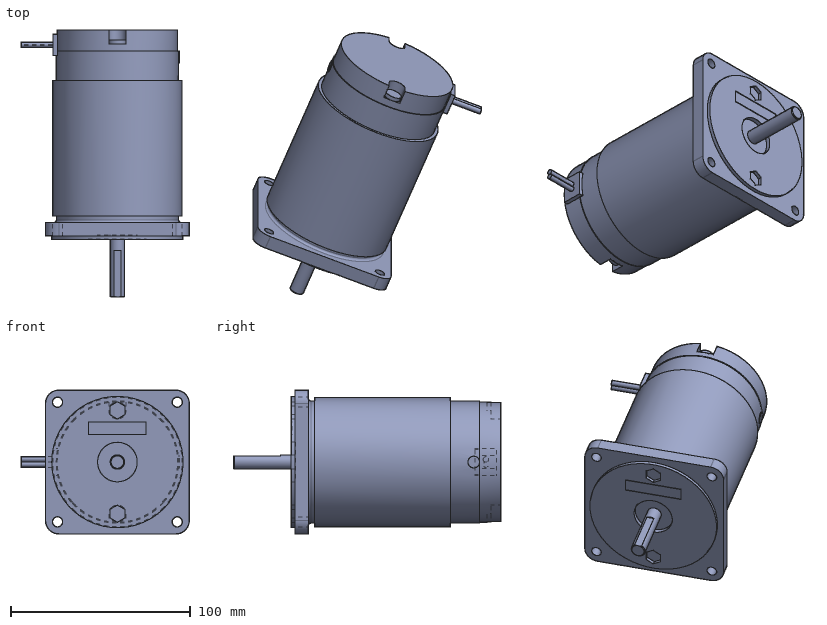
import cadquery as cq
import math


flange_side = 80.0
flange_thickness = 7.5
flange_corner_radius = 7.5
mount_hole_diameter = 5.5
mount_hole_offset = 33.25

pilot_diameter = 73.0
pilot_height = 2.0
bearing_recess_diameter = 22.0
bearing_recess_depth = 2.5
label_recess_width = 32.0
label_recess_height = 7.0
label_recess_center_z = 18.75
label_recess_depth = 0.3
hex_across_flats = 8.3
hex_recess_depth = 2.0

shaft_diameter = 8.0
shaft_length = 32.0
shaft_chamfer = 0.5
shaft_flat_length = 26.0
shaft_flat_depth = 0.55

neck_diameter = 68.0
neck_length = 3.5
neck_fillet = 1.5
body_diameter = 72.0
body_length = 75.5
collar_diameter = 68.0
collar_length = 16.2
cap_diameter = 67.0
cap_length = 11.8

bolt_offset = 28.7
bolt_head_diameter = 9.5
bolt_head_height = 2.2
bolt_slot_depth = 7.7

outlet_length = 12.0
outlet_height = 15.0
outlet_thickness = 2.5
outlet_face_x = -35.8
outlet_rear_gap = 2.35
wire_diameter = 3.0
wire_offset_z = 1.48
wire_end_x = -53.5

pad_diameter = 6.5
pad_face_x = 34.4

pilot_face_y = -pilot_height
shaft_tip_y = pilot_face_y - shaft_length
body_front_y = flange_thickness + neck_length
collar_front_y = body_front_y + body_length
cap_front_y = collar_front_y + collar_length
rear_y = cap_front_y + cap_length
outlet_center_y = rear_y - outlet_rear_gap - outlet_length / 2


def facing_rear(y):
    """Sketch plane at station y, extruding toward +Y (local x = -X, local y = Z)."""
    return cq.Workplane(cq.Plane(origin=(0, y, 0), xDir=(-1, 0, 0), normal=(0, 1, 0)))


def facing_right(x):
    """Sketch plane at position x, extruding toward +X (local x = Y, local y = Z)."""
    return cq.Workplane(cq.Plane(origin=(x, 0, 0), xDir=(0, 1, 0), normal=(1, 0, 0)))


def disc(diameter, start_y, length):
    return facing_rear(start_y).circle(diameter / 2).extrude(length)


def make_flange():
    plate = facing_rear(0).rect(flange_side, flange_side).extrude(flange_thickness)
    plate = plate.edges("|Y").fillet(flange_corner_radius)
    spacing = 2 * mount_hole_offset
    holes = (
        facing_rear(0)
        .rect(spacing, spacing, forConstruction=True)
        .vertices()
        .circle(mount_hole_diameter / 2)
        .extrude(flange_thickness)
    )
    return plate.cut(holes)


def make_neck():
    """Neck behind the flange, flaring into it with a concave fillet."""
    radius = neck_diameter / 2
    fillet_end_y = flange_thickness + neck_fillet
    mid_step = neck_fillet * (1 - math.sqrt(0.5))
    profile = (
        cq.Workplane("XY")
        .moveTo(0, flange_thickness)
        .lineTo(radius + neck_fillet, flange_thickness)
        .threePointArc(
            (radius + mid_step, flange_thickness + mid_step),
            (radius, fillet_end_y),
        )
        .lineTo(radius, body_front_y)
        .lineTo(0, body_front_y)
        .close()
    )
    return profile.revolve(360, (0, 0, 0), (0, 1, 0))


def make_housing():
    housing = make_flange().union(disc(pilot_diameter, pilot_face_y, pilot_height))
    housing = housing.union(make_neck())
    housing = housing.union(disc(body_diameter, body_front_y, body_length))
    housing = housing.union(disc(collar_diameter, collar_front_y, collar_length))
    return housing.union(disc(cap_diameter, cap_front_y, cap_length))


def make_front_recesses():
    """Bearing, label and hex recesses sunk into the pilot face."""
    recesses = disc(bearing_recess_diameter, pilot_face_y, bearing_recess_depth)
    label = (
        facing_rear(pilot_face_y)
        .center(0, label_recess_center_z)
        .rect(label_recess_width, label_recess_height)
        .extrude(label_recess_depth)
    )
    hex_across_corners = hex_across_flats / math.cos(math.pi / 6)
    recesses = recesses.union(label)
    for side in (1, -1):
        hexagon = (
            facing_rear(pilot_face_y)
            .center(0, side * bolt_offset)
            .transformed(rotate=(0, 0, 90))
            .polygon(6, hex_across_corners)
            .extrude(hex_recess_depth)
        )
        recesses = recesses.union(hexagon)
    return recesses


def make_bolt_slot(side):
    """Round-bottomed slot at the cap's rear rim, open outward, less the bolt head left in it."""
    start_y = rear_y - bolt_slot_depth
    round_bottom = (
        facing_rear(start_y)
        .center(0, side * bolt_offset)
        .circle(bolt_head_diameter / 2)
        .extrude(bolt_slot_depth)
    )
    opening_height = bolt_head_diameter
    opening = (
        facing_rear(start_y)
        .center(0, side * (bolt_offset + opening_height / 2))
        .rect(bolt_head_diameter, opening_height)
        .extrude(bolt_slot_depth)
    )
    bolt_head = (
        facing_rear(start_y)
        .center(0, side * bolt_offset)
        .circle(bolt_head_diameter / 2)
        .extrude(bolt_head_height)
    )
    return round_bottom.union(opening).cut(bolt_head)


def make_shaft():
    shaft = disc(shaft_diameter, shaft_tip_y, flange_thickness - shaft_tip_y)
    shaft = shaft.faces("<Y").chamfer(shaft_chamfer)
    flat = (
        facing_rear(shaft_tip_y)
        .center(0, shaft_diameter / 2)
        .rect(shaft_diameter, 2 * shaft_flat_depth)
        .extrude(shaft_flat_length)
    )
    return shaft.cut(flat)


def make_cable_outlet():
    """Rectangular outlet block with two parallel wires."""
    outlet = (
        facing_right(outlet_face_x)
        .center(outlet_center_y, 0)
        .rect(outlet_length, outlet_height)
        .extrude(outlet_thickness)
    )
    for z in (wire_offset_z, -wire_offset_z):
        wire = (
            facing_right(wire_end_x)
            .center(outlet_center_y, z)
            .circle(wire_diameter / 2)
            .extrude(outlet_face_x - wire_end_x)
        )
        outlet = outlet.union(wire)
    return outlet


def make_side_pad():
    return (
        facing_right(0)
        .center(cap_front_y - pad_diameter / 2, 0)
        .circle(pad_diameter / 2)
        .extrude(pad_face_x)
    )


result = make_housing().cut(make_front_recesses())
for bolt_side in (1, -1):
    result = result.cut(make_bolt_slot(bolt_side))
result = result.union(make_shaft()).union(make_cable_outlet()).union(make_side_pad())